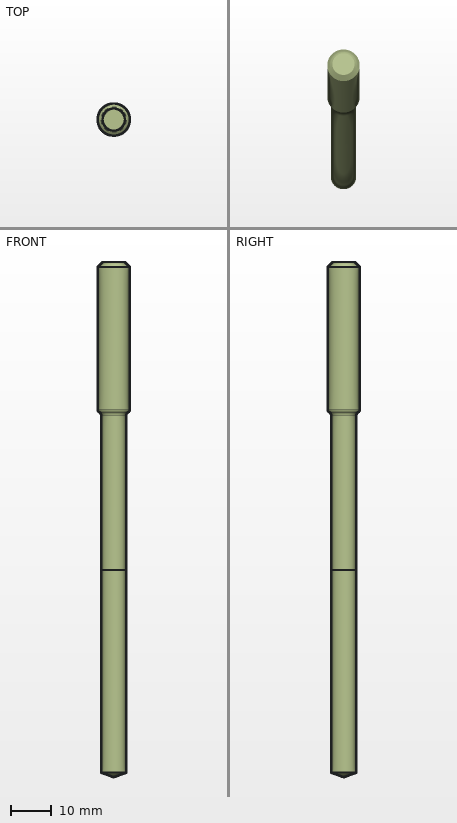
import cadquery as cq
import math

TOTAL_LENGTH = 126.0
SHANK_DIAMETER = 8.0
DRILL_DIAMETER = 6.2
SHANK_LENGTH = 36.0
CUTTING_LENGTH = 50.7
TOP_CHAMFER = 1.3
SHOULDER_HEIGHT = 1.5
POINT_HALF_ANGLE = 70.0

shank_radius = SHANK_DIAMETER / 2
drill_radius = DRILL_DIAMETER / 2
point_height = drill_radius / math.tan(math.radians(POINT_HALF_ANGLE))
shank_bottom = TOTAL_LENGTH - SHANK_LENGTH


def revolve_about_axis(profile):
    """Revolve a closed (radius, height) outline about the Z axis."""
    return profile.revolve(360, (0, 0), (0, 1))


def make_cutting_part():
    """Cylindrical cutting length with a conical point at the bottom."""
    profile = (
        cq.Workplane("XZ")
        .moveTo(0, 0)
        .lineTo(drill_radius, point_height)
        .lineTo(drill_radius, CUTTING_LENGTH)
        .lineTo(0, CUTTING_LENGTH)
        .close()
    )
    return revolve_about_axis(profile)


def make_holder():
    """Neck, S-curved shoulder and thicker shank with a chamfered top edge."""
    neck_top = shank_bottom - SHOULDER_HEIGHT
    middle = ((shank_radius + drill_radius) / 2, shank_bottom - SHOULDER_HEIGHT / 2)
    profile = (
        cq.Workplane("XZ")
        .moveTo(0, CUTTING_LENGTH)
        .lineTo(drill_radius, CUTTING_LENGTH)
        .lineTo(drill_radius, neck_top)
        .tangentArcPoint(middle, relative=False)
        .tangentArcPoint((shank_radius, shank_bottom), relative=False)
        .lineTo(shank_radius, TOTAL_LENGTH - TOP_CHAMFER)
        .lineTo(shank_radius - TOP_CHAMFER, TOTAL_LENGTH)
        .lineTo(0, TOTAL_LENGTH)
        .close()
    )
    return revolve_about_axis(profile)


cutting_part = make_cutting_part()
holder = make_holder()

result = cq.Compound.makeCompound([cutting_part.val(), holder.val()])